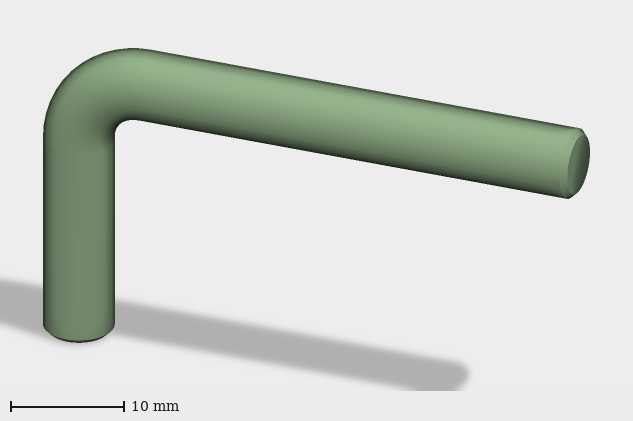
import cadquery as cq

rod_diameter = 6.35
overall_length = 50.8
overall_height = 28.575
end_chamfer = 0.5

rod_radius = rod_diameter / 2
bend_radius = rod_diameter
short_leg = overall_height - rod_radius - bend_radius
long_leg = overall_length - rod_radius - bend_radius


def straight_leg(length):
    """Rod along +Z from the origin, chamfered at its far end."""
    leg = cq.Workplane("XY").circle(rod_radius).extrude(length)
    return leg.faces(">Z").edges().chamfer(end_chamfer)


def quarter_bend():
    """Elbow rising from the origin along +Z and turning toward +X."""
    axis_start = (bend_radius, 0)
    axis_end = (bend_radius, 1)
    return cq.Workplane("XY").circle(rod_radius).revolve(90, axis_start, axis_end)


lower_leg = straight_leg(short_leg).rotate((0, 0, 0), (1, 0, 0), 180)

upper_leg = (
    straight_leg(long_leg)
    .rotate((0, 0, 0), (0, 1, 0), 90)
    .translate((bend_radius, 0, bend_radius))
)

result = lower_leg.union(quarter_bend()).union(upper_leg)